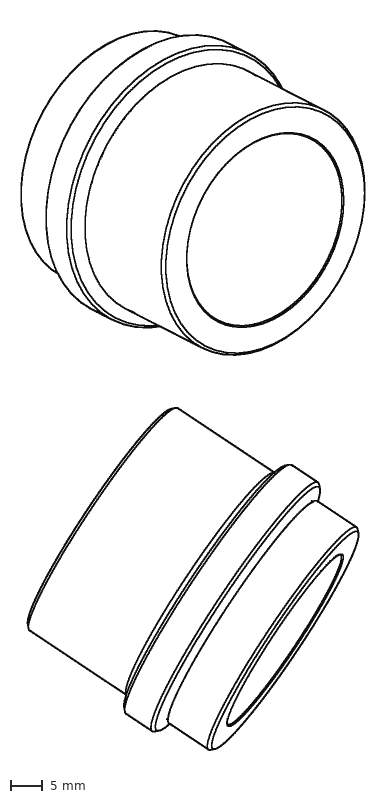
import cadquery as cq

LENGTH = 35.0
BODY_DIAMETER = 42.0
COLLAR_DIAMETER = 47.0
BORE_DIAMETER = 32.0

COLLAR_START = 9.0
COLLAR_WIDTH = 6.0

OUTER_CHAMFER = 0.5
BORE_CHAMFER = 0.2
GROOVE_WIDTH = 1.0

BODY_RADIUS = BODY_DIAMETER / 2
COLLAR_RADIUS = COLLAR_DIAMETER / 2
BORE_RADIUS = BORE_DIAMETER / 2
COLLAR_END = COLLAR_START + COLLAR_WIDTH
GROOVE_RADIUS = GROOVE_WIDTH / 2


def chamfered_cylinder(start, end, radius, chamfer):
    """Solid cylinder along X with both circular edges chamfered."""
    cylinder = cq.Workplane("YZ").workplane(offset=start).circle(radius).extrude(end - start)
    return cylinder.edges("%CIRCLE").chamfer(chamfer)


def relief_groove(center):
    """Ring with a round section, cutting a half-round groove into the body surface."""
    section = cq.Workplane("XY").center(center, BODY_RADIUS).circle(GROOVE_RADIUS)
    return section.revolve(360, (0, -BODY_RADIUS), (1, -BODY_RADIUS))


def bore():
    """Through bore, widened by a small chamfer at each mouth."""
    mouth_radius = BORE_RADIUS + BORE_CHAMFER
    profile = (
        cq.Workplane("XY")
        .moveTo(0, 0)
        .lineTo(0, mouth_radius)
        .lineTo(BORE_CHAMFER, BORE_RADIUS)
        .lineTo(LENGTH - BORE_CHAMFER, BORE_RADIUS)
        .lineTo(LENGTH, mouth_radius)
        .lineTo(LENGTH, 0)
        .close()
    )
    return profile.revolve(360, (0, 0), (1, 0))


body = chamfered_cylinder(0, LENGTH, BODY_RADIUS, OUTER_CHAMFER)

for groove_center in (COLLAR_START - GROOVE_RADIUS, COLLAR_END + GROOVE_RADIUS):
    body = body.cut(relief_groove(groove_center))

collar = chamfered_cylinder(COLLAR_START, COLLAR_END, COLLAR_RADIUS, OUTER_CHAMFER)

result = body.union(collar).cut(bore())